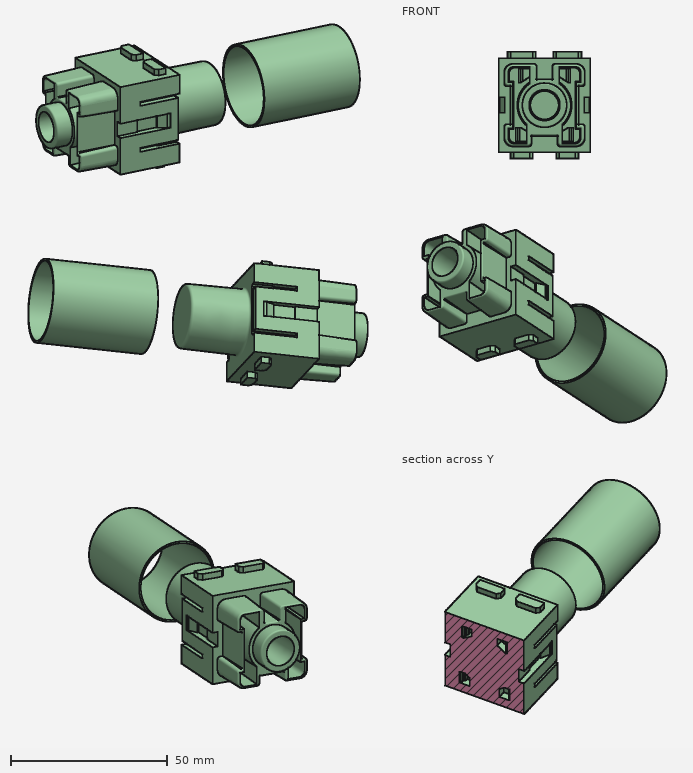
import cadquery as cq
import math

TOTAL_LENGTH = 107.4
SHROUD_FRONT = 5.6
BLOCK_FRONT = 18.9
BLOCK_BACK = 40.6
BARREL_BACK = 60.3
SLEEVE_FRONT = 72.4

DRAFT = 1.4

SLEEVE_RADIUS = 13.5
SLEEVE_WALL = 0.6

BLOCK_WIDTH = 29.3
BLOCK_HEIGHT = 30.1

TAB_HEIGHT = 2.0
TAB_SPACING = 14.6
TOP_TAB_WIDTH = 9.1
BOTTOM_TAB_WIDTH = 7.2
TAB_FRONT = 33.4
TAB_BACK = 37.0
TAB_CHAMFER = 1.1

BARREL_BASE_RADIUS = 10.6
BARREL_END_RADIUS = 10.4
BARREL_END_FILLET = 1.0
BARREL_BASE_FILLET = 0.8

LATCH_SLOT_INNER = 7.2
LATCH_SLOT_OUTER = 8.6
LATCH_SLOT_DEPTH = 2.5
LATCH_SLOT_BEVEL = 0.6
LATCH_END_SETBACK = 0.4
GROOVE_WIDTH = 4.9
GROOVE_DEPTH = 1.9
GROOVE_END_DEPTH = 0.4
RELIEF_FRONT = 26.2
RAMP_FRONT = 33.4
RAMP_BACK = 36.3
GROOVE_BACK = 37.4

SHROUD_WIDTH = 25.8
SHROUD_HEIGHT = 26.4
SHROUD_CORNER = 2.9
SHROUD_LIP_FILLET = 1.0
SHROUD_RIM_FILLET = 0.4
TOP_NOTCH_WIDTH = 4.9
TOP_NOTCH_FLOOR = 8.3
BOTTOM_NOTCH_WIDTH = 8.3
BOTTOM_NOTCH_FLOOR = 9.9
SIDE_RECESS_X = 11.0
SIDE_RECESS_HEIGHT = 12.0

CAVITY_WIDTH = 23.1
CAVITY_HEIGHT = 24.5
CAVITY_CORNER = 1.8
CAVITY_SIDE_X = 10.1
CAVITY_SIDE_HEIGHT = 14.6
HUB_RADIUS = 8.4
TOP_CORE_WIDTH = 9.5
BOTTOM_CORE_WIDTH = 11.2

POCKET_STEPS = 3
POCKET_STEP_WIDTH = 0.6
POCKET_STEP_DEPTH = 1.1
TOP_POCKET_OUTER_X = 8.3
TOP_POCKET_EDGE_Z = 11.6
TOP_POCKET_SLANT_Z = (9.0, 7.2)
BOTTOM_POCKET_OUTER_X = 9.2
BOTTOM_POCKET_EDGE_Z = 11.5
BOTTOM_POCKET_TOP_Z = 7.2
BOTTOM_POCKET_BEVEL_X = 7.4
BOTTOM_POCKET_BEVEL_Z = 8.4

NOSE_RADIUS = 7.1
NOSE_FILLET = 0.5
BORE_MOUTH_RADIUS = 4.9
BORE_FLOOR_RADIUS = 4.5

CUT_MARGIN = 2.1
SHROUD_LENGTH = BLOCK_FRONT - SHROUD_FRONT


def facing_front(y):
    """Plane at the given Y whose normal points to -Y (local axes X and Z)."""
    return cq.Workplane("XZ", origin=(0, y, 0))


def facing_back(y):
    """Plane at the given Y whose normal points to +Y (local axes X and -Z)."""
    return cq.Workplane(cq.Plane(origin=(0, y, 0), xDir=(1, 0, 0), normal=(0, 1, 0)))


def box_between(x0, x1, y0, y1, z0, z1):
    return cq.Workplane("XY").box(x1 - x0, y1 - y0, z1 - z0, centered=False).translate((x0, y0, z0))


def mirrored_pair(shape):
    """The shape together with its copy on the other side of the YZ plane."""
    return shape.union(shape.mirror("YZ"))


def make_sleeve():
    return (
        facing_back(SLEEVE_FRONT)
        .circle(SLEEVE_RADIUS)
        .circle(SLEEVE_RADIUS - SLEEVE_WALL)
        .extrude(TOTAL_LENGTH - SLEEVE_FRONT)
    )


def make_block_with_barrel():
    block = box_between(
        -BLOCK_WIDTH / 2, BLOCK_WIDTH / 2, BLOCK_FRONT, BLOCK_BACK, -BLOCK_HEIGHT / 2, BLOCK_HEIGHT / 2
    )
    length = BARREL_BACK - BLOCK_BACK
    taper = math.degrees(math.atan((BARREL_BASE_RADIUS - BARREL_END_RADIUS) / length))
    barrel = facing_back(BLOCK_BACK).circle(BARREL_BASE_RADIUS).extrude(length, taper=taper)
    barrel = barrel.faces(">Y").edges().fillet(BARREL_END_FILLET)
    block_back_face = block.union(barrel).faces("<Y[-2]")
    return block_back_face.edges("%CIRCLE").fillet(BARREL_BASE_FILLET)


def make_tab(width, bottom_z):
    """Coding tab with its two front corners cut off."""
    tab = box_between(-width / 2, width / 2, TAB_FRONT, TAB_BACK, bottom_z, bottom_z + TAB_HEIGHT)
    return tab.faces("<Y").edges("|Z").chamfer(TAB_CHAMFER)


def make_tabs():
    top_tab = make_tab(TOP_TAB_WIDTH, BLOCK_HEIGHT / 2)
    bottom_tab = make_tab(BOTTOM_TAB_WIDTH, -BLOCK_HEIGHT / 2 - TAB_HEIGHT)
    tab_pair = top_tab.union(bottom_tab).translate((TAB_SPACING / 2, 0, 0))
    return mirrored_pair(tab_pair)


def make_latch_groove(side_x):
    """Groove with a deeper relief, then a ramp that rises to a shallow end."""
    groove_floor = side_x - GROOVE_DEPTH
    relief_floor = side_x - LATCH_SLOT_DEPTH
    end_floor = side_x - GROOVE_END_DEPTH
    return (
        cq.Workplane("XY", origin=(0, 0, -GROOVE_WIDTH / 2))
        .polyline([
            (side_x, BLOCK_FRONT),
            (groove_floor, BLOCK_FRONT),
            (groove_floor, RELIEF_FRONT),
            (relief_floor, RELIEF_FRONT),
            (relief_floor, RAMP_FRONT),
            (groove_floor, RAMP_FRONT),
            (end_floor, RAMP_BACK),
            (end_floor, GROOVE_BACK),
            (side_x, GROOVE_BACK),
        ])
        .close()
        .extrude(GROOVE_WIDTH)
    )


def make_latch_slot(side_x):
    """Slot above the latch; from the foot of the ramp backward its floor is bevelled."""
    floor = side_x - LATCH_SLOT_DEPTH
    front = box_between(floor, side_x, RELIEF_FRONT, RAMP_FRONT, LATCH_SLOT_INNER, LATCH_SLOT_OUTER)
    rear = (
        facing_back(RAMP_FRONT)
        .polyline([
            (side_x, -LATCH_SLOT_INNER),
            (floor, -LATCH_SLOT_INNER),
            (floor, LATCH_SLOT_BEVEL - LATCH_SLOT_OUTER),
            (floor + LATCH_SLOT_BEVEL, -LATCH_SLOT_OUTER),
            (side_x, -LATCH_SLOT_OUTER),
        ])
        .close()
        .extrude(BLOCK_BACK - RAMP_FRONT)
    )
    return front.union(rear)


def make_latch_cuts():
    side_x = BLOCK_WIDTH / 2
    slot = make_latch_slot(side_x)
    setback = box_between(
        side_x - LATCH_SLOT_DEPTH, side_x,
        BLOCK_BACK - LATCH_END_SETBACK, BLOCK_BACK,
        -LATCH_SLOT_INNER, LATCH_SLOT_INNER,
    )
    cuts = make_latch_groove(side_x).union(slot).union(slot.mirror("XY")).union(setback)
    return mirrored_pair(cuts)


def drafted_recess(x, z, width, height):
    """Recess cutter that starts at the block and widens toward the rim."""
    return facing_front(BLOCK_FRONT).center(x, z).rect(width, height).extrude(SHROUD_LENGTH, taper=-DRAFT)


def make_shroud_outside():
    shroud = (
        facing_front(BLOCK_FRONT)
        .sketch()
        .rect(SHROUD_WIDTH, SHROUD_HEIGHT)
        .vertices()
        .fillet(SHROUD_CORNER)
        .finalize()
        .extrude(SHROUD_LENGTH, taper=DRAFT)
    )
    half_width = SHROUD_WIDTH / 2
    half_height = SHROUD_HEIGHT / 2

    top_depth = half_height + CUT_MARGIN - TOP_NOTCH_FLOOR
    bottom_depth = half_height + CUT_MARGIN - BOTTOM_NOTCH_FLOOR
    side_depth = half_width + CUT_MARGIN - SIDE_RECESS_X
    shroud = shroud.cut(drafted_recess(0, TOP_NOTCH_FLOOR + top_depth / 2, TOP_NOTCH_WIDTH, top_depth))
    shroud = shroud.cut(
        drafted_recess(0, -BOTTOM_NOTCH_FLOOR - bottom_depth / 2, BOTTOM_NOTCH_WIDTH, bottom_depth)
    )
    side_recess = drafted_recess(SIDE_RECESS_X + side_depth / 2, 0, side_depth, SIDE_RECESS_HEIGHT)
    shroud = shroud.cut(mirrored_pair(side_recess))

    mouth_edges = []
    for x, z in [
        (TOP_NOTCH_WIDTH / 2, half_height),
        (BOTTOM_NOTCH_WIDTH / 2, -half_height),
        (half_width, SIDE_RECESS_HEIGHT / 2),
        (half_width, -SIDE_RECESS_HEIGHT / 2),
    ]:
        for side in (-1, 1):
            middle = cq.Vector(side * x, (BLOCK_FRONT + SHROUD_FRONT) / 2, z)
            mouth_edges.append(min(shroud.edges().vals(), key=lambda edge: (edge.Center() - middle).Length))
    shroud = shroud.newObject(mouth_edges).fillet(SHROUD_LIP_FILLET)
    return shroud.faces("<Y").edges().fillet(SHROUD_RIM_FILLET)


def make_cavity():
    """Hollow around the hub, leaving the notch walls and side walls standing."""
    cavity = (
        facing_back(SHROUD_FRONT)
        .sketch()
        .rect(CAVITY_WIDTH, CAVITY_HEIGHT)
        .vertices()
        .fillet(CAVITY_CORNER)
        .finalize()
        .extrude(SHROUD_LENGTH, taper=DRAFT)
    )
    side_depth = CAVITY_WIDTH / 2 + CUT_MARGIN - CAVITY_SIDE_X
    side_wall = (
        facing_back(SHROUD_FRONT)
        .center(CAVITY_SIDE_X + side_depth / 2, 0)
        .rect(side_depth, CAVITY_SIDE_HEIGHT)
        .extrude(SHROUD_LENGTH, taper=-DRAFT)
    )
    hub = facing_back(SHROUD_FRONT).circle(HUB_RADIUS).extrude(SHROUD_LENGTH, taper=-DRAFT)
    top_core = box_between(
        -TOP_CORE_WIDTH / 2, TOP_CORE_WIDTH / 2, SHROUD_FRONT, BLOCK_FRONT, 0, SHROUD_HEIGHT / 2
    )
    bottom_core = box_between(
        -BOTTOM_CORE_WIDTH / 2, BOTTOM_CORE_WIDTH / 2, SHROUD_FRONT, BLOCK_FRONT, -SHROUD_HEIGHT / 2, 0
    )
    return cavity.cut(mirrored_pair(side_wall)).cut(hub).cut(top_core).cut(bottom_core)


def pocket(points, outer_x):
    """Pocket with the given outline whose floor steps down away from outer_x."""
    bottom_y = BLOCK_FRONT + POCKET_STEPS * POCKET_STEP_DEPTH
    prism = facing_back(BLOCK_FRONT).polyline([(x, -z) for x, z in points]).close()
    prism = prism.extrude(bottom_y - BLOCK_FRONT)
    for step in range(1, POCKET_STEPS):
        ledge_x = outer_x - step * POCKET_STEP_WIDTH
        ledge_y = BLOCK_FRONT + step * POCKET_STEP_DEPTH
        ledge = box_between(
            ledge_x, outer_x, ledge_y, bottom_y, -SHROUD_HEIGHT / 2, SHROUD_HEIGHT / 2
        )
        prism = prism.cut(ledge)
    return prism


def make_floor_pockets():
    """Stepped pockets beside the notch walls, two at the top and two at the bottom."""
    top_inner_x = TOP_CORE_WIDTH / 2
    bottom_inner_x = BOTTOM_CORE_WIDTH / 2
    slant_inner_z, slant_outer_z = TOP_POCKET_SLANT_Z
    top_outline = [
        (top_inner_x, TOP_POCKET_EDGE_Z),
        (TOP_POCKET_OUTER_X, TOP_POCKET_EDGE_Z),
        (TOP_POCKET_OUTER_X, slant_outer_z),
        (TOP_POCKET_OUTER_X - POCKET_STEP_WIDTH, slant_outer_z),
        (top_inner_x, slant_inner_z),
    ]
    bottom_outline = [
        (bottom_inner_x, -BOTTOM_POCKET_EDGE_Z),
        (BOTTOM_POCKET_OUTER_X, -BOTTOM_POCKET_EDGE_Z),
        (BOTTOM_POCKET_OUTER_X, -BOTTOM_POCKET_TOP_Z),
        (BOTTOM_POCKET_BEVEL_X, -BOTTOM_POCKET_TOP_Z),
        (bottom_inner_x, -BOTTOM_POCKET_BEVEL_Z),
    ]
    top_pocket = pocket(top_outline, TOP_POCKET_OUTER_X)
    bottom_pocket = pocket(bottom_outline, BOTTOM_POCKET_OUTER_X)
    return mirrored_pair(top_pocket.union(bottom_pocket))


def make_nose():
    nose = facing_front(SHROUD_FRONT).circle(NOSE_RADIUS).extrude(SHROUD_FRONT)
    return nose.faces("<Y").edges().fillet(NOSE_FILLET)


def make_bore():
    taper = math.degrees(math.atan((BORE_MOUTH_RADIUS - BORE_FLOOR_RADIUS) / BLOCK_FRONT))
    return facing_back(0).circle(BORE_MOUTH_RADIUS).extrude(BLOCK_FRONT, taper=taper)


def make_housing():
    housing = make_block_with_barrel().union(make_tabs()).cut(make_latch_cuts())
    front = make_shroud_outside().cut(make_cavity()).union(make_nose())
    return housing.union(front).cut(make_bore()).cut(make_floor_pockets())


housing = make_housing()
sleeve = make_sleeve()
result = cq.Compound.makeCompound([housing.val(), sleeve.val()])